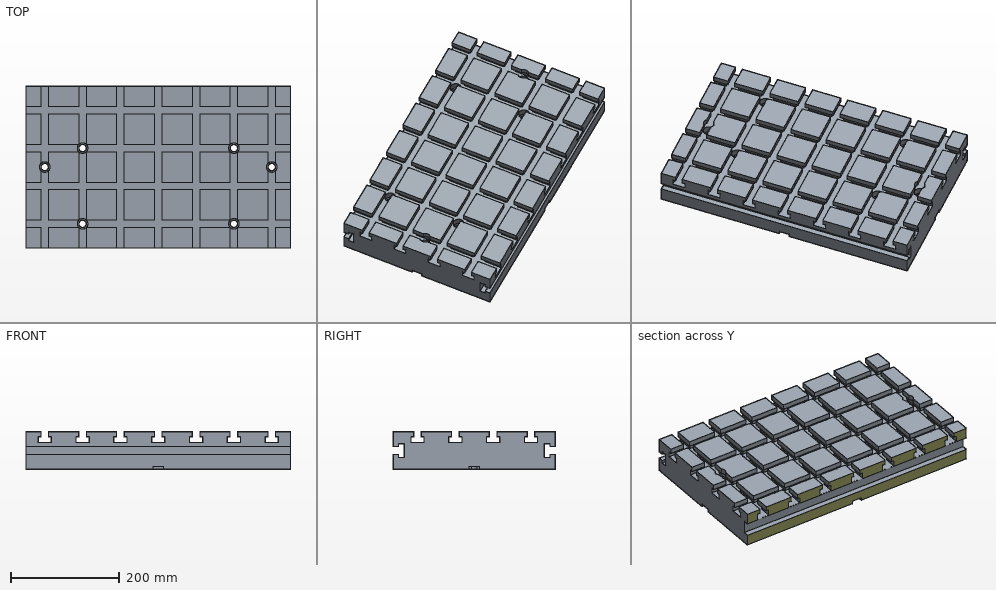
import cadquery as cq

LENGTH = 490.0
WIDTH = 300.0
HEIGHT = 70.0

X_SLOT_COUNT = 7
Y_SLOT_COUNT = 4
SLOT_PITCH = LENGTH / X_SLOT_COUNT
NECK_WIDTH = 13.5
NECK_DEPTH = 10.0
FOOT_WIDTH = 24.0
SLOT_DEPTH = 20.0
SIDE_NECK_WIDTH = 14.0
SIDE_FOOT_WIDTH = 25.0

HOLE_DIAMETER = 13.0
COUNTERBORE_DIAMETER = 19.5
COUNTERBORE_BELOW_SLOT = 13.0

KEYWAY_WIDTH = 19.5
KEYWAY_HEIGHT = 5.5
KEYWAY_LENGTH = 2 * KEYWAY_WIDTH


def t_slot(neck_width, foot_width, length):
    """T-slot cutter along Y, with its mouth at Z = 0 and its foot below."""
    foot_height = SLOT_DEPTH - NECK_DEPTH
    neck = cq.Workplane("XY").box(neck_width, length, SLOT_DEPTH, centered=(True, True, False))
    foot = cq.Workplane("XY").box(foot_width, length, foot_height, centered=(True, True, False))
    return neck.union(foot).translate((0, 0, -SLOT_DEPTH))


def centred_positions(count):
    """Positions of a row of slots spread evenly about zero."""
    return [(i - (count - 1) / 2) * SLOT_PITCH for i in range(count)]


def cut_top_slots(body):
    cross_slot = t_slot(NECK_WIDTH, FOOT_WIDTH, WIDTH)
    for x in centred_positions(X_SLOT_COUNT):
        body = body.cut(cross_slot.translate((x, 0, HEIGHT)))
    long_slot = t_slot(NECK_WIDTH, FOOT_WIDTH, LENGTH).rotate((0, 0, 0), (0, 0, 1), 90)
    for y in centred_positions(Y_SLOT_COUNT):
        body = body.cut(long_slot.translate((0, y, HEIGHT)))
    return body


def cut_side_slots(body):
    long_slot = t_slot(SIDE_NECK_WIDTH, SIDE_FOOT_WIDTH, LENGTH).rotate((0, 0, 0), (0, 0, 1), 90)
    for side in (-1, 1):
        slot = long_slot.rotate((0, 0, 0), (1, 0, 0), -90 * side)
        body = body.cut(slot.translate((0, side * WIDTH / 2, HEIGHT / 2)))
    return body


def cut_mounting_holes(body):
    points = []
    for side in (-1, 1):
        points.append((side * 3 * SLOT_PITCH, 0))
        points.append((side * 2 * SLOT_PITCH, SLOT_PITCH / 2))
        points.append((side * 2 * SLOT_PITCH, -3 * SLOT_PITCH / 2))
    counterbore_depth = SLOT_DEPTH + COUNTERBORE_BELOW_SLOT
    holes = cq.Workplane("XY").pushPoints(points).circle(HOLE_DIAMETER / 2).extrude(HEIGHT)
    counterbores = (
        cq.Workplane("XY", origin=(0, 0, HEIGHT))
        .pushPoints(points)
        .circle(COUNTERBORE_DIAMETER / 2)
        .extrude(-counterbore_depth)
    )
    return body.cut(holes).cut(counterbores)


def cut_keyways(body):
    reach = 2 * KEYWAY_LENGTH
    for side in (-1, 1):
        end_key = cq.Workplane("XY").box(reach, KEYWAY_WIDTH, KEYWAY_HEIGHT, centered=(True, True, False))
        body = body.cut(end_key.translate((side * LENGTH / 2, 0, 0)))
        side_key = cq.Workplane("XY").box(KEYWAY_WIDTH, reach, KEYWAY_HEIGHT, centered=(True, True, False))
        body = body.cut(side_key.translate((0, side * WIDTH / 2, 0)))
    return body


plate = cq.Workplane("XY").box(LENGTH, WIDTH, HEIGHT, centered=(True, True, False))
plate = cut_top_slots(plate)
plate = cut_side_slots(plate)
plate = cut_mounting_holes(plate)
result = cut_keyways(plate)